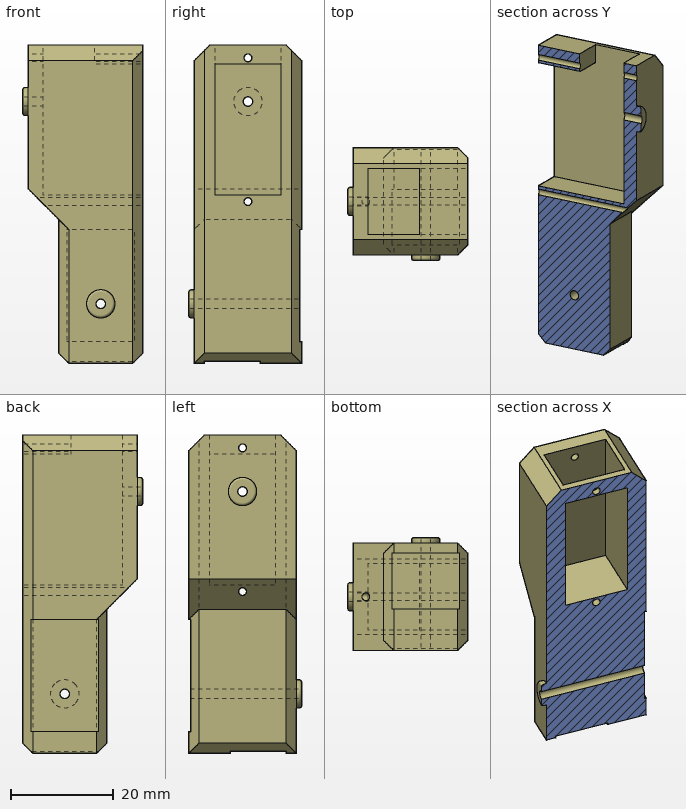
import cadquery as cq

length = 62.0
width = 22.3
depth = 20.95
foot_inset = 5.95
slope_top = 34.0
slope_bottom = slope_top - foot_inset
edge_chamfer = 2.0
top_chamfer = 3.1
mid_y = depth / 2

button_diameter = 5.5
button_height = 1.05
button_rounding = 0.5
button_bore = 1.8
side_button_z = 50.95
front_button_x = (foot_inset + width) / 2
front_button_z = 11.6

cavity_wall_x = 2.9
cavity_wall_y = 4.0
roof_thickness = 3.7
opening_width = 10.0
cavity_floor = 32.8

screw_diameter = 1.5
upper_screw_z = 59.45
lower_screw_z = 31.5
recess_depth = 0.4
back_recess_bottom = 4.2
back_recess_top = slope_bottom - edge_chamfer
bottom_recess_end = 12.85


def block(x_range, y_range, z_range):
    """Box between two limits along each axis."""
    (x0, x1), (y0, y1), (z0, z1) = x_range, y_range, z_range
    return cq.Workplane("XY").box(x1 - x0, y1 - y0, z1 - z0, centered=False).translate((x0, y0, z0))


def cylinder(start, direction, diameter, height):
    """Round bar from a start point along a direction."""
    plane = cq.Plane(origin=start, normal=direction)
    return cq.Workplane(plane).circle(diameter / 2).extrude(height)


def body():
    profile = [
        (foot_inset + edge_chamfer, 0),
        (width - edge_chamfer, 0),
        (width, edge_chamfer),
        (width, length),
        (0, length),
        (0, slope_top),
        (foot_inset, slope_bottom),
        (foot_inset, edge_chamfer),
    ]
    solid = cq.Workplane("XZ").polyline(profile).close().extrude(-depth)

    solid = solid.faces(">Z").edges("|X").chamfer(top_chamfer)

    solid = solid.faces(">X").edges("|Z").chamfer(edge_chamfer)
    foot_middle = (foot_inset, mid_y, slope_bottom / 2)
    foot_face = solid.faces(cq.NearestToPointSelector(foot_middle))
    return foot_face.edges("|Z").chamfer(edge_chamfer)


def add_button(solid, center, outward):
    button = cylinder(center, outward, button_diameter, button_height)
    rim = cq.DirectionMinMaxSelector(cq.Vector(*outward), True)
    return solid.union(button.faces(rim).edges().fillet(button_rounding))


def hollow_head(solid):
    y_range = (cavity_wall_y, depth - cavity_wall_y)
    cavity = block((cavity_wall_x, width), y_range, (cavity_floor, length - roof_thickness))
    opening = block((cavity_wall_x, cavity_wall_x + opening_width), y_range, (cavity_floor, length))
    return solid.cut(cavity).cut(opening)


def cut_cross_holes(solid):
    for z, diameter in (
        (upper_screw_z, screw_diameter),
        (lower_screw_z, screw_diameter),
        (side_button_z, button_bore),
    ):
        start = (-button_height, mid_y, z)
        solid = solid.cut(cylinder(start, (1, 0, 0), diameter, width + button_height))
    start = (front_button_x, -button_height, front_button_z)
    return solid.cut(cylinder(start, (0, 1, 0), button_bore, depth + button_height))


def cut_recesses(solid):
    x_range = (foot_inset, width)
    back = block(x_range, (depth - recess_depth, depth), (back_recess_bottom, back_recess_top))
    bottom = block(x_range, (edge_chamfer, bottom_recess_end), (0, recess_depth))
    return solid.cut(back).cut(bottom)


result = body()
result = add_button(result, (0, mid_y, side_button_z), (-1, 0, 0))
result = add_button(result, (front_button_x, 0, front_button_z), (0, -1, 0))
result = hollow_head(result)
result = cut_cross_holes(result)
result = cut_recesses(result)